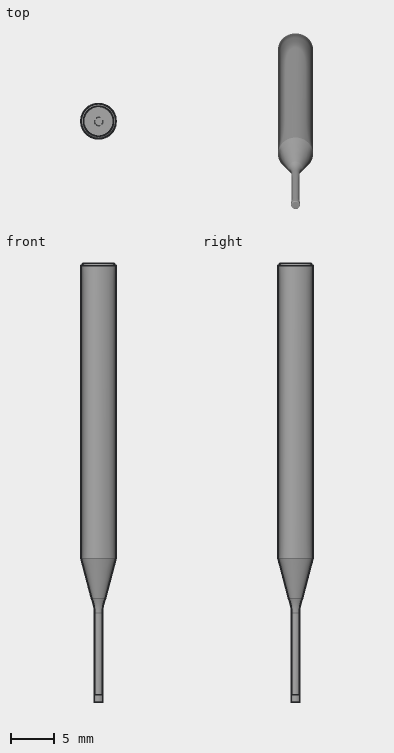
import cadquery as cq
import math

total_length = 50.0
shank_radius = 2.0
shank_chamfer = 0.3

cone_top_z = 16.4
cone_bottom_z = 11.85
cone_bottom_radius = 0.8
neck_radius = 0.46
neck_top_z = 10.2

tip_radius = 0.5
tip_length = 0.85
tip_corner_radius = 0.1

blend_height = cone_bottom_z - neck_top_z
blend_growth = cone_bottom_radius - neck_radius
blend_radius = (blend_height**2 + blend_growth**2) / (2 * blend_growth)
half_sweep = math.asin(blend_height / blend_radius) / 2
blend_mid_radius = neck_radius + blend_radius * (1 - math.cos(half_sweep))
blend_mid_z = neck_top_z + blend_radius * math.sin(half_sweep)


def make_shank():
    """Shank, cone, blend and neck turned as one body."""
    return (
        cq.Workplane("XZ")
        .moveTo(0, tip_length)
        .lineTo(neck_radius, tip_length)
        .lineTo(neck_radius, neck_top_z)
        .threePointArc((blend_mid_radius, blend_mid_z), (cone_bottom_radius, cone_bottom_z))
        .lineTo(shank_radius, cone_top_z)
        .lineTo(shank_radius, total_length)
        .lineTo(0, total_length)
        .close()
        .revolve(360, (0, 0, 0), (0, 1, 0))
        .faces(">Z")
        .chamfer(shank_chamfer)
    )


def make_tip():
    """Cutting tip with a rounded lower corner, butted against the neck."""
    return (
        cq.Workplane("XY")
        .circle(tip_radius)
        .extrude(tip_length)
        .faces("<Z")
        .edges()
        .fillet(tip_corner_radius)
    )


shank = make_shank()
tip = make_tip()
result = cq.Compound.makeCompound([shank.val(), tip.val()])